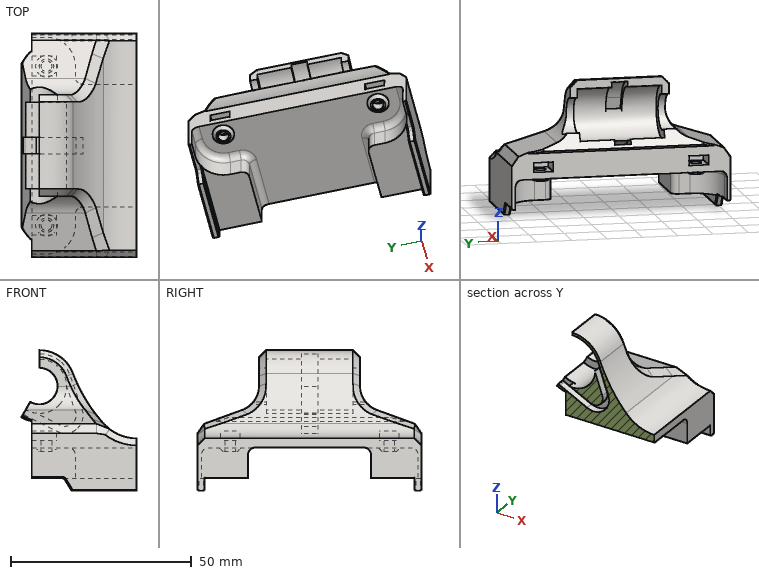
import cadquery as cq
import math

half_width = 31.0
front_x = 29.1
height = 39.0

hook_radius = 10.0
bore_radius = 7.5
lip_radius = 5.0
bore_half_length = 11.95
cradle_x = 2.1
cradle_z = height - hook_radius
tip_angle = 240

sweep_radius = 45.25
valley_radius = 12.4
valley_floor_z = 14.6

neck_half_width = 14.0
flare_radius = 7.0
shoulder_slope = 20
edge_chamfer = 2.0
tip_chamfer = 1.0

step_z = 3.55
step_x = 8.9
leg_x = 11.05
step_fillet = 1.0
foot_chamfer = 0.4
skirt_wall = 2.0
skirt_top_z = 7.45
ceiling_z = 11.95
thin_wall = 1.0
pad_inner_y = 17.0
pad_corner_radius = 2.0
ceiling_fillet = 2.0

screw_y = 22.0
screw_x = 4.0
screw_diameter = 3.0
collar_diameter = 6.0
collar_height = 1.0
nut_slot_width = 5.5
nut_slot_z = 13.95
nut_slot_height = 2.7

channel_width = 4.6
channel_radius = 9.0
channel_upper_angle = 19.3
channel_lower_angle = 243.5
channel_depth = 1.9
channel_bend_radius = 4.95

margin = 6.2
clearance = 0.05


def polar(radius, angle, center=(cradle_x, cradle_z)):
    """Point at a radius and an angle in degrees from a center, the cradle axis by default."""
    turn = math.radians(angle)
    return (center[0] + radius * math.cos(turn), center[1] + radius * math.sin(turn))


def heading(start, end):
    """Angle in degrees, 0 to 360, of the direction from start to end."""
    return math.degrees(math.atan2(end[1] - start[1], end[0] - start[0])) % 360


def meeting_point(center_a, radius_a, center_b, radius_b):
    """Upper crossing of two circles, where center_b lies to the right of center_a."""
    gap = math.dist(center_a, center_b)
    turn = math.acos((radius_a**2 + gap**2 - radius_b**2) / (2 * radius_a * gap))
    return polar(radius_a, heading(center_a, center_b) + math.degrees(turn), center_a)


def extrude_across(sketch, width):
    """Extrude an XZ sketch symmetrically about Y = 0."""
    return sketch.extrude(width / 2, both=True)


def blank_body():
    """Side profile crossed with the shouldered outline, with the shared rim chamfered."""
    valley_center = (front_x, valley_floor_z + valley_radius)
    back_x = cradle_x - hook_radius - margin
    hook_center = (cradle_x, cradle_z)
    sweep_center = meeting_point(
        hook_center, hook_radius + sweep_radius, valley_center, sweep_radius - valley_radius
    )
    hook_end = heading(hook_center, sweep_center)
    valley_start = heading(sweep_center, valley_center)
    side = (
        cq.Workplane("XZ")
        .moveTo(back_x, height)
        .lineTo(cradle_x, height)
        .threePointArc(polar(hook_radius, (90 + hook_end) / 2), polar(hook_radius, hook_end))
        .threePointArc(
            polar(sweep_radius, (180 + hook_end + valley_start) / 2, sweep_center),
            polar(sweep_radius, valley_start, sweep_center),
        )
        .threePointArc(
            polar(valley_radius, (valley_start + 270) / 2, valley_center),
            (front_x, valley_floor_z),
        )
        .lineTo(front_x, 0)
        .lineTo(back_x, 0)
        .close()
    )
    flare_center = (neck_half_width + flare_radius, cradle_z)
    flare_end = polar(flare_radius, 270 - shoulder_slope, flare_center)
    flare_mid = polar(flare_radius, 225 - shoulder_slope / 2, flare_center)
    shoulder_z = flare_end[1] - (half_width - flare_end[0]) * math.tan(math.radians(shoulder_slope))
    outline = (
        cq.Workplane("YZ", origin=(back_x, 0, 0))
        .moveTo(0, height)
        .lineTo(neck_half_width, height)
        .lineTo(neck_half_width, cradle_z)
        .threePointArc(flare_mid, flare_end)
        .lineTo(half_width, shoulder_z)
        .lineTo(half_width, 0)
        .lineTo(0, 0)
        .close()
        .extrude(front_x - back_x)
    )
    outline = outline.union(outline.mirror("XZ"))
    body = extrude_across(side, 2 * half_width).intersect(outline)

    def on_rim(edge):
        """True for a sharp outer edge, false for tangent seams and the end outlines."""
        middle = edge.positionAt(0.5)
        box = edge.BoundingBox()
        along_x = max(box.ylen, box.zlen) < clearance
        inside = back_x + clearance < middle.x < front_x - clearance and middle.z > clearance
        if not inside or abs(middle.y) < clearance:
            return False
        at_side = abs(middle.y) > half_width - clearance
        at_top = middle.z > height - clearance
        return not along_x or at_side or at_top

    rim = [e for e in body.edges().vals() if on_rim(e)]
    return body.newObject(rim).chamfer(edge_chamfer)


def rear_waste():
    """Everything behind the base, the pointed tip and the mouth of the cradle."""
    root_angle = 180 + math.degrees(math.acos(cradle_x / hook_radius))
    far_x = cradle_x - hook_radius - 2 * margin
    waste = (
        cq.Workplane("XZ")
        .moveTo(0, -margin)
        .lineTo(*polar(hook_radius, root_angle))
        .threePointArc(polar(hook_radius, (tip_angle + root_angle) / 2), polar(hook_radius, tip_angle))
        .lineTo(*polar(lip_radius, tip_angle))
        .threePointArc(polar(lip_radius, 0), polar(lip_radius, 90))
        .lineTo(cradle_x, height + margin)
        .lineTo(far_x, height + margin)
        .lineTo(far_x, -margin)
        .close()
    )
    return extrude_across(waste, 2 * half_width + margin)


def bevel_tip(body):
    """Bevel the curved edges where the tip underside meets the sloping shoulders."""
    tip_x, tip_z = polar(hook_radius, tip_angle)
    for outer_y in (-half_width, half_width):
        y_limits = sorted((math.copysign(clearance, outer_y), outer_y))
        below_tip = cq.selectors.BoxSelector(
            (tip_x, y_limits[0], 0),
            (-clearance, y_limits[1], tip_z),
        )
        body = body.edges(below_tip).chamfer(tip_chamfer)
    return body


def wide_bore():
    """Larger bore between the two end lips of the cradle."""
    return (
        cq.Workplane("XZ")
        .center(cradle_x, cradle_z)
        .circle(bore_radius)
        .extrude(bore_half_length, both=True)
    )


def channel_sector(radius):
    """Sector bounded by a hook-side arc, two tangent runs joined by a bend, and a short tip-side arc."""
    half_spread = (360 + channel_upper_angle - channel_lower_angle) / 2
    bend_offset = (channel_radius - channel_bend_radius) / math.cos(math.radians(half_spread))
    bend_direction = channel_upper_angle - half_spread
    bend_center = polar(bend_offset, bend_direction)
    bend_radius = radius - (channel_radius - channel_bend_radius)
    sector = (
        cq.Workplane("XZ")
        .moveTo(cradle_x, cradle_z)
        .lineTo(*polar(radius, 90))
        .threePointArc(polar(radius, (90 + channel_upper_angle) / 2), polar(radius, channel_upper_angle))
        .lineTo(*polar(bend_radius, channel_upper_angle, bend_center))
        .threePointArc(
            polar(bend_radius, bend_direction, bend_center),
            polar(bend_radius, channel_lower_angle, bend_center),
        )
        .lineTo(*polar(radius, channel_lower_angle))
        .threePointArc(polar(radius, (channel_lower_angle + tip_angle) / 2), polar(radius, tip_angle))
        .close()
    )
    return extrude_across(sector, channel_width)


def band_channel():
    """Band passage that wraps under the cradle and opens into the bore at both ends."""
    return channel_sector(channel_radius).cut(channel_sector(channel_radius - channel_depth))


def side_skirt(inner_y):
    """Skirt plate with a stepped foot, bevelled along both lower edges."""
    profile = (
        cq.Workplane("XZ")
        .moveTo(0, skirt_top_z)
        .lineTo(0, step_z)
        .lineTo(step_x, step_z)
        .lineTo(leg_x, 0)
        .lineTo(front_x, 0)
        .lineTo(front_x, skirt_top_z)
        .close()
    )
    skirt = profile.extrude(-skirt_wall)
    skirt = skirt.edges(cq.NearestToPointSelector((step_x, skirt_wall / 2, step_z))).fillet(step_fillet)
    foot = cq.selectors.BoxSelector(
        (-clearance, -clearance, -clearance),
        (front_x - clearance, skirt_wall + clearance, step_z + clearance),
    )
    skirt = skirt.edges(foot).edges("not |Y").chamfer(foot_chamfer)
    return skirt.translate((0, inner_y, 0))


def underside_recess():
    """Cavity below the ceiling that leaves thin side walls and two corner screw pads."""
    wall_y = half_width - thin_wall
    hollow_radius = wall_y - screw_y
    hollow_center = (screw_x, screw_y)
    pad_x = screw_x + hollow_radius
    corner_center = (pad_x + pad_corner_radius, pad_inner_y + pad_corner_radius)
    far_x = front_x + margin
    half = (
        cq.Workplane("XY")
        .moveTo(-margin, 0)
        .lineTo(-margin, wall_y)
        .lineTo(hollow_center[0], wall_y)
        .threePointArc(polar(hollow_radius, 45, hollow_center), (pad_x, screw_y))
        .lineTo(pad_x, corner_center[1])
        .threePointArc(polar(pad_corner_radius, 225, corner_center), (corner_center[0], pad_inner_y))
        .lineTo(far_x, pad_inner_y)
        .lineTo(far_x, 0)
        .close()
        .extrude(ceiling_z)
    )
    recess = half.union(half.mirror("XZ"))
    return recess.faces(">Z").edges("not(<X or >X)").fillet(ceiling_fillet)


def add_screw_seat(body, y):
    """Tapered collar under the ceiling, drilled through into a nut slot open to the rear."""
    collar_radius = collar_diameter / 2
    collar = (
        cq.Workplane("XY", origin=(screw_x, y, ceiling_z))
        .circle(collar_radius)
        .workplane(offset=-collar_height)
        .circle(collar_radius - collar_height)
        .loft()
    )
    slot_end = screw_x + nut_slot_width / 2
    slot = cq.Workplane("XY").box(slot_end, nut_slot_width, nut_slot_height, centered=(False, True, False))
    hole = cq.Workplane("XY", origin=(screw_x, y, 0)).circle(screw_diameter / 2).extrude(nut_slot_z)
    return body.union(collar).cut(slot.translate((0, y, nut_slot_z))).cut(hole)


def add_skirts(body):
    """Trim the lower body to a flat bottom and join a skirt plate along each side."""
    inner_y = half_width - skirt_wall
    length = front_x + margin
    bottom = cq.Workplane("XY").box(length, 2 * half_width, step_z, centered=(False, True, False))
    body = body.cut(bottom)
    strip = cq.Workplane("XY").box(length, skirt_wall, skirt_top_z, centered=False)
    strip = strip.translate((0, inner_y, 0))
    skirt = side_skirt(inner_y)
    body = body.cut(strip).cut(strip.mirror("XZ"))
    return body.union(skirt).union(skirt.mirror("XZ"))


body = bevel_tip(blank_body().cut(rear_waste()))
body = body.cut(wide_bore()).cut(band_channel())
body = add_skirts(body).cut(underside_recess())
for side in (-1, 1):
    body = add_screw_seat(body, side * screw_y)
result = body